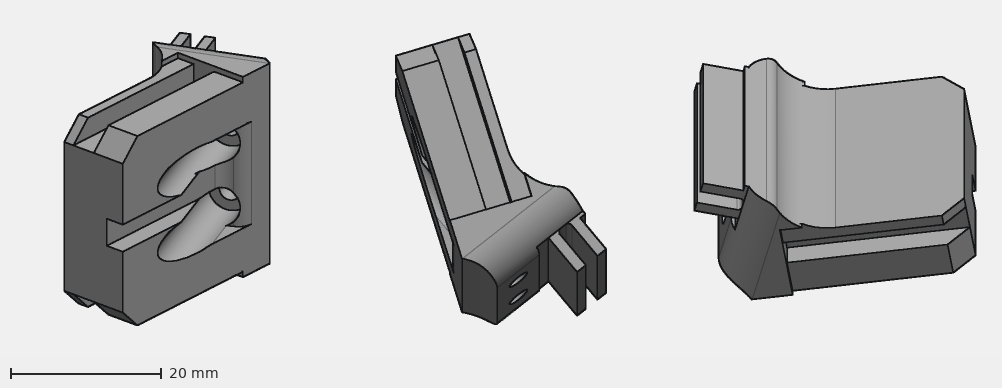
import cadquery as cq
import math

total_length = 38.3
height = 29.5
lean = math.radians(22)
handle_width = 10.22

head_y = 32.8
head_left_x = -5.75
edge_round = 5.0
shoulder_y = head_y - edge_round
bend_radius = 7.5
bend_end_y = 19.85
left_corner_radius = 2.2

prong_half_height = 12.0
prong_left_x = -4.85
prong_width = 1.5
prong_gap = 2.0
prong_fillet = 0.57
prong_root_y = 32.28
step_end_x = 2.1

handle_half_height = 13.95
handle_step_length = 24.5
top_step_width = 11.35
bottom_step_width = 11.55
left_rib_width = 1.6
right_rib_width = 5.05
end_chamfer = 3.0

channel_depth = 2.8
channel_height = 4.0
pocket_height = 15.1
pocket_end_along = 26.2
hole_diameter = 3.0
counterbore_diameter = 6.0
hole_spacing = 9.5
counterbore_floor_y = shoulder_y

tool_reach = 7.65

sin_lean = math.sin(lean)
cos_lean = math.cos(lean)
half_height = height / 2


def handle_point(across, along):
    """XY point: across runs left from the handle's right face, along from its free end."""
    x = along * sin_lean - across * cos_lean
    y = along * cos_lean + across * sin_lean
    return (x, y)


def polar(center, radius, angle):
    return (center[0] + radius * math.cos(angle), center[1] + radius * math.sin(angle))


def prism(outline, z_low, z_high):
    return outline.close().extrude(z_high - z_low).translate((0, 0, z_low))


def box(x_low, x_high, y_low, y_high, z_half):
    size = (x_high - x_low, y_high - y_low, 2 * z_half)
    return cq.Workplane("XY").box(*size, centered=False).translate((x_low, y_low, -z_half))


def handle_prism(across_low, across_high, along_low, along_high, z_low, z_high):
    """Rectangular block aligned with the handle."""
    corners = [
        handle_point(across_low, along_low),
        handle_point(across_high, along_low),
        handle_point(across_high, along_high),
        handle_point(across_low, along_high),
    ]
    return prism(cq.Workplane("XY").polyline(corners), z_low, z_high)


def make_body():
    """Bent outline of handle and head, with the rear edges of the head rounded."""
    bend_end_along = (bend_end_y - handle_width * sin_lean) / cos_lean
    bend_end = handle_point(handle_width, bend_end_along)
    bend_center = handle_point(handle_width + bend_radius, bend_end_along)
    corner_x = head_left_x + left_corner_radius
    corner_offset_x = corner_x - bend_center[0]
    corner_offset_y = math.sqrt((bend_radius + left_corner_radius) ** 2 - corner_offset_x**2)
    corner_center = (corner_x, bend_center[1] + corner_offset_y)
    join_angle = math.atan2(corner_offset_y, corner_offset_x)
    join = polar(bend_center, bend_radius, join_angle)
    corner_mid = polar(corner_center, left_corner_radius, join_angle / 2 + math.pi)
    bend_mid = polar(bend_center, bend_radius, (join_angle - lean) / 2)

    shoulder = handle_point(0, shoulder_y / cos_lean)
    right_angle = math.asin(edge_round / bend_radius)
    right_x = shoulder[0] - bend_radius * (1 - math.cos(right_angle))
    right_center = (right_x + bend_radius, head_y)
    right_mid = polar(right_center, bend_radius, math.pi + right_angle / 2)

    outline = (
        cq.Workplane("XY")
        .moveTo(*handle_point(0, 0))
        .lineTo(*shoulder)
        .threePointArc(right_mid, (right_x, head_y))
        .lineTo(head_left_x, head_y)
        .lineTo(head_left_x, corner_center[1])
        .threePointArc(corner_mid, join)
        .threePointArc(bend_mid, bend_end)
        .lineTo(*handle_point(handle_width, 0))
    )
    blank = prism(outline, -half_height, half_height)

    arc_center_z = half_height - edge_round
    arc_mid = polar((shoulder_y, arc_center_z), edge_round, math.pi / 4)
    side_profile = (
        cq.Workplane("YZ")
        .moveTo(-tool_reach, -half_height)
        .lineTo(shoulder_y, -half_height)
        .threePointArc((arc_mid[0], -arc_mid[1]), (head_y, -arc_center_z))
        .lineTo(head_y, arc_center_z)
        .threePointArc(arc_mid, (shoulder_y, half_height))
        .lineTo(-tool_reach, half_height)
        .close()
        .extrude(total_length, both=True)
    )
    return blank.intersect(side_profile)


def add_prongs(body):
    """Two flat prongs standing in a shallow step of the head, with a ledge on their left."""
    gap_left_x = prong_left_x + prong_width
    gap_right_x = gap_left_x + prong_gap
    prong_right_x = gap_right_x + prong_width
    step = box(prong_right_x, step_end_x, prong_root_y, total_length, half_height)
    ledge = box(head_left_x, prong_left_x, prong_root_y, head_y, prong_half_height)
    prongs = box(prong_left_x, prong_right_x, prong_root_y, total_length, prong_half_height)
    gap = box(gap_left_x, gap_right_x, prong_root_y, total_length + tool_reach, half_height)
    gap = gap.edges("|Z and <Y").fillet(prong_fillet)
    return body.cut(step).union(ledge).union(prongs).cut(gap)


def cut_handle_side(body, side, step_width):
    """Step down one side of the handle (side is +1 or -1), groove it and chamfer its end."""
    groove_floor = handle_half_height - end_chamfer
    step = handle_prism(
        -tool_reach, step_width, -tool_reach, handle_step_length,
        handle_half_height, half_height + tool_reach,
    )
    groove = handle_prism(
        right_rib_width, handle_width - left_rib_width, -tool_reach, handle_step_length,
        groove_floor, half_height,
    )
    end_plane = cq.Plane(
        origin=(0, 0, 0), xDir=(sin_lean, cos_lean, 0), normal=(cos_lean, -sin_lean, 0)
    )
    chamfer = (
        cq.Workplane(end_plane)
        .polyline([(0, groove_floor), (end_chamfer, handle_half_height), (0, handle_half_height)])
        .close()
        .extrude(2 * handle_width, both=True)
    )
    for tool in (step, groove, chamfer):
        if side < 0:
            tool = tool.mirror("XY")
        body = body.cut(tool)
    return body


pocket_radius = channel_depth / (2 * (1 - sin_lean))
pocket_end = handle_point(0, pocket_end_along)
outer_center = handle_point(pocket_radius, pocket_end_along)
pocket_join = (outer_center[0], outer_center[1] - pocket_radius)
inner_center = (pocket_join[0], pocket_join[1] - pocket_radius)
pocket_start = polar(inner_center, pocket_radius, math.pi - lean)
quarter_bend = math.pi / 2 - lean
outer_mid = polar(outer_center, pocket_radius, -math.pi / 2 + quarter_bend / 2)
inner_mid = polar(inner_center, pocket_radius, math.pi / 2 + quarter_bend / 2)


def cut_channel_and_pocket(body):
    """Channel up the right face of the handle, opening into a wider pocket under the head."""
    channel_end = (pocket_start[1] - channel_depth * sin_lean) / cos_lean
    channel = handle_prism(
        -tool_reach, channel_depth, -tool_reach, channel_end,
        -channel_height / 2, channel_height / 2,
    )
    outline = (
        cq.Workplane("XY")
        .moveTo(*pocket_start)
        .threePointArc(inner_mid, pocket_join)
        .threePointArc(outer_mid, pocket_end)
        .lineTo(pocket_end[0], 0)
        .lineTo(pocket_start[0], 0)
    )
    return body.cut(channel).cut(prism(outline, -pocket_height / 2, pocket_height / 2))


def cut_screw_holes(body):
    """Two counterbored holes along Y, in line with the start of the pocket."""
    for z in (-hole_spacing / 2, hole_spacing / 2):
        axis_plane = cq.Plane(origin=(pocket_start[0], 0, z), xDir=(1, 0, 0), normal=(0, 1, 0))
        hole = cq.Workplane(axis_plane).circle(hole_diameter / 2).extrude(total_length)
        counterbore = cq.Workplane(axis_plane).circle(counterbore_diameter / 2)
        body = body.cut(hole).cut(counterbore.extrude(counterbore_floor_y))
    return body


result = make_body()
result = add_prongs(result)
result = cut_handle_side(result, 1, top_step_width)
result = cut_handle_side(result, -1, bottom_step_width)
result = cut_channel_and_pocket(result)
result = cut_screw_holes(result)